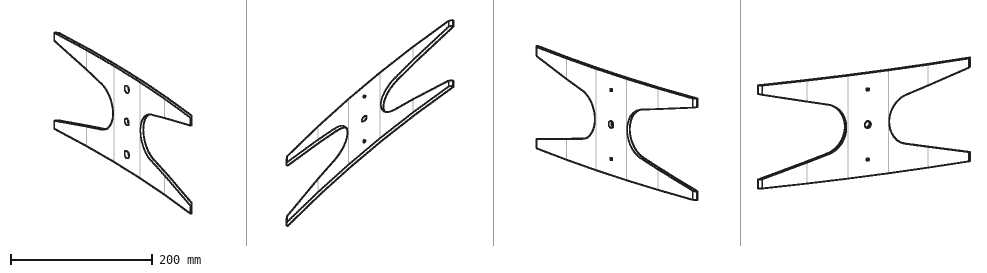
import cadquery as cq
import math

length = 344.3
height = 149.8
depth = 12.7
half_length = length / 2

thickness = 5.0
inner_bend_x = 32.7
outer_bend_x = 98.0
outer_drop = depth - thickness
inner_panel_length = outer_bend_x - inner_bend_x
outer_panel_length = half_length - outer_bend_x
inner_slope = outer_drop / (inner_panel_length + 2 * outer_panel_length)
outer_slope = 2 * inner_slope
inner_drop = inner_slope * inner_panel_length

bevel_length = 4.8
bevel_depth = 2.8

arm_tip_height = 12.5
root_x = 34.8
taper_angle = math.radians(13.7)

center_hole_diameter = 10.0
screw_spacing = 102.0
screw_diameter = 3.8
countersink_diameter = 11.0
countersink_angle = 90.0


def bent_plate():
    """Extrude the bent strip, with its back face at Y = 0 in the centre."""
    bevel_start_drop = outer_drop - outer_slope * bevel_length
    back = [
        (inner_bend_x, 0),
        (outer_bend_x, -inner_drop),
        (half_length - bevel_length, -bevel_start_drop),
        (half_length, -outer_drop - bevel_depth),
    ]
    end_lean = (thickness - bevel_depth) * outer_slope
    front = [
        (half_length - end_lean, -depth),
        (outer_bend_x, -inner_drop - thickness),
        (inner_bend_x, -thickness),
    ]
    right_side = back + front
    left_side = [(-x, y) for x, y in reversed(right_side)]
    return (
        cq.Workplane("XY")
        .polyline(right_side + left_side)
        .close()
        .extrude(height / 2, both=True)
    )


def side_cutout():
    """Make the cutter for the +X side, passing through the full depth."""
    mouth_half = height / 2 - arm_tip_height
    slope = math.tan(taper_angle)
    radius = (mouth_half - slope * (half_length - root_x)) / (1 / math.cos(taper_angle) - slope)
    tangent_x = root_x + radius - radius * math.sin(taper_angle)
    tangent_z = radius * math.cos(taper_angle)
    return (
        cq.Workplane("XZ")
        .moveTo(half_length, mouth_half)
        .lineTo(tangent_x, tangent_z)
        .threePointArc((root_x, 0), (tangent_x, -tangent_z))
        .lineTo(half_length, -mouth_half)
        .close()
        .extrude(depth)
    )


def drill(plate):
    """Add the plain centre hole and the two screw holes countersunk from the front."""
    front_plane = cq.Workplane("XZ", origin=(0, -thickness, 0)).plane
    plate = plate.copyWorkplane(cq.Workplane(front_plane)).hole(center_hole_diameter)
    return (
        plate.copyWorkplane(cq.Workplane(front_plane))
        .pushPoints([(0, -screw_spacing / 2), (0, screw_spacing / 2)])
        .cskHole(screw_diameter, countersink_diameter, countersink_angle)
    )


cutout = side_cutout()
result = drill(bent_plate().cut(cutout).cut(cutout.mirror("YZ")))